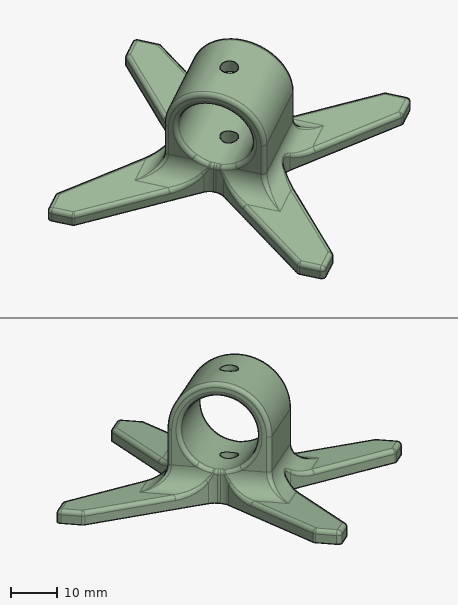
import cadquery as cq
import math

LENGTH_X = 63.0
LENGTH_Y = 60.0
HEIGHT = 27.5

BODY_WIDTH = 23.0
BODY_DEPTH = 20.0
BORE_DIAMETER = 17.0
PIN_DIAMETER = 4.0

PLATE_THICKNESS = 3.0
TIP_FLAT = 6.0
FRONT_CROTCH_WIDTH = 2.8

FLARE_RADIUS = 5.0
CROTCH_RADIUS = 3.0
EDGE_RADIUS = 1.0
SHARP_ANGLE = 5.0
TOLERANCE = 0.005

TIP_X = LENGTH_X / 2
TIP_Y = LENGTH_Y / 2
WALL_X = BODY_WIDTH / 2
WALL_Y = BODY_DEPTH / 2
BORE_HEIGHT = HEIGHT - WALL_X
FLARE_TOP = PLATE_THICKNESS + FLARE_RADIUS


def flared_foot(plane, half_length, wall):
    """Start half a cross-section: along the base, over the plate and up the flare to the body wall."""
    return (
        cq.Workplane(plane)
        .lineTo(half_length, 0)
        .lineTo(half_length, PLATE_THICKNESS)
        .lineTo(wall + FLARE_RADIUS, PLATE_THICKNESS)
        .radiusArc((wall, FLARE_TOP), FLARE_RADIUS)
    )


def arch_prism():
    """Arched body on flared feet, extruded along Y."""
    half = (
        flared_foot("XZ", TIP_X, WALL_X)
        .lineTo(WALL_X, BORE_HEIGHT)
        .radiusArc((0, HEIGHT), -WALL_X)
        .close()
        .extrude(TIP_Y, both=True)
    )
    return half.union(half.mirror("YZ"))


def end_wall_prism():
    """Straight-walled body on flared feet, extruded along X."""
    half = (
        flared_foot("YZ", TIP_Y, WALL_Y)
        .lineTo(WALL_Y, HEIGHT)
        .lineTo(0, HEIGHT)
        .close()
        .extrude(TIP_X, both=True)
    )
    return half.union(half.mirror("XZ"))


def star_prism():
    """Four-legged plan outline with rounded crotches between the legs and rounded leg tips."""
    quarter = [
        (WALL_X, 0),
        (TIP_X, TIP_Y - TIP_FLAT),
        (TIP_X, TIP_Y),
        (TIP_X - TIP_FLAT, TIP_Y),
        (FRONT_CROTCH_WIDTH / 2, WALL_Y),
    ]
    back_half = quarter + [(-x, y) for x, y in reversed(quarter)]
    front_half = [(x, -y) for x, y in reversed(back_half[1:-1])]
    prism = cq.Workplane("XY").polyline(back_half + front_half).close().extrude(HEIGHT)
    reach_x = WALL_X + FLARE_RADIUS
    reach_y = WALL_Y + FLARE_RADIUS
    crotches = cq.selectors.BoxSelector((-reach_x, -reach_y, 0), (reach_x, reach_y, HEIGHT))
    tips = cq.selectors.StringSyntaxSelector("|Z") - crotches
    prism = prism.edges(tips).fillet(EDGE_RADIUS)
    return prism.edges("|Z").edges(crotches).fillet(CROTCH_RADIUS)


def sharp_edges(solid):
    """Edges above the base where two faces meet at an angle."""
    faces_by_edge = {}
    for face in solid.Faces():
        for edge in face.Edges():
            faces_by_edge.setdefault(edge, []).append(face)
    sharp = []
    for edge, faces in faces_by_edge.items():
        on_base = edge.BoundingBox().zmax < TOLERANCE
        if on_base or len(faces) != 2:
            continue
        middle = edge.positionAt(0.5)
        angle = faces[0].normalAt(middle).getAngle(faces[1].normalAt(middle))
        if math.degrees(angle) > SHARP_ANGLE:
            sharp.append(edge)
    return sharp


def round_sharp_edges(part):
    """Round every sharp edge above the base."""
    return part.newObject(sharp_edges(part.val())).fillet(EDGE_RADIUS)


blank = arch_prism().intersect(end_wall_prism()).intersect(star_prism())
blank = round_sharp_edges(blank)

bore = cq.Workplane("XZ").center(0, BORE_HEIGHT).circle(BORE_DIAMETER / 2).extrude(BODY_DEPTH, both=True)
bored = round_sharp_edges(blank.cut(bore))

pin_hole = cq.Workplane("XY").circle(PIN_DIAMETER / 2).extrude(HEIGHT)
result = bored.cut(pin_hole).solids()